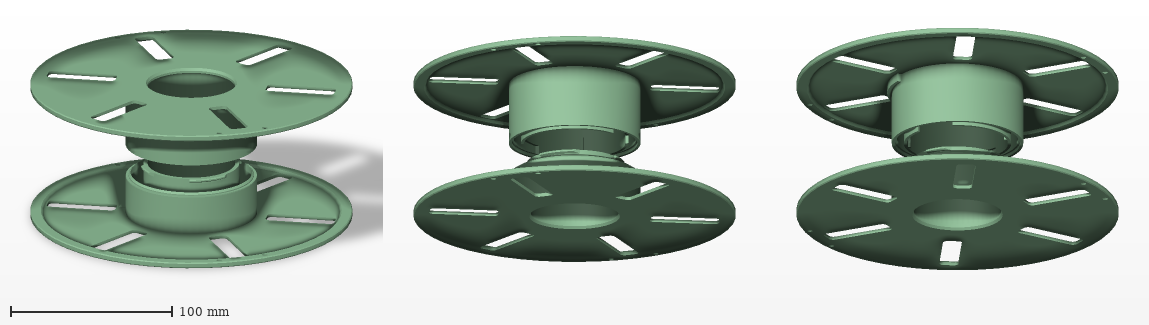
import cadquery as cq
import math

FLANGE_DIA = 200.0
FLANGE_THICKNESS = 3.6
FLANGE_EDGE_CHAMFER = 0.6
TOTAL_HEIGHT = 87.0
BORE_DIA = 54.2
BORE_CHAMFER = 1.0
BORE_CHAMFER_DEPTH = 1.6
BORE_LIP_DEPTH = 3.0

DISH_DIA = 186.8
DISH_DEPTH = 1.6
DISH_RIM_WIDTH = 1.6

WINDOW_COUNT = 6
WINDOW_LENGTH = 43.2
WINDOW_WIDTH = 12.0
WINDOW_RADIUS = 69.0
WINDOW_CORNER_RADIUS = 3.0

EYELET_DIA = 3.5
EYELET_X = 94.8
EYELET_Y = 15.0

HUB_DIA = 81.6
SHOULDER_DIA = 81.5
HUB_INNER_DIA = 75.5
UPPER_HUB_BOTTOM = 47.0
LOWER_SHOULDER_Z = 26.5
SHOULDER_BEVEL_HEIGHT = 0.6

LIP_DIA = 77.8
LIP_TIP_DIA = 75.6
LIP_TOP_Z = 28.2
LIP_STRAIGHT_HEIGHT = 0.6
SOCKET_DIA = 78.0
SOCKET_DEPTH = 2.0

TUBE_DIA = 59.5
TUBE_TOP_Z = 34.2

LUG_DIA = 62.8
LUG_HEIGHT = 2.5
LUG_TOP_BEVEL = 0.6
LUG_FLANK_HEIGHT = 1.0
WIDE_LUG_HALF_ANGLE = 21.5
NARROW_LUG_HALF_ANGLE = 12.0
LUG_LEAD_ANGLE = 7.5

LUGS = [
    (0, WIDE_LUG_HALF_ANGLE),
    (90, NARROW_LUG_HALF_ANGLE),
    (180, WIDE_LUG_HALF_ANGLE),
    (270, NARROW_LUG_HALF_ANGLE),
]

SLEEVE_DIA = 66.6
SLEEVE_BORE_DIA = 62.8
LUG_WINDOW_WIDTH = 23.8
LUG_WINDOW_HEIGHT = 5.2
STOP_BORE_DIA = 59.6
STOP_HEIGHT = 13.0
STOP_START_ANGLE = 12.0
STOP_END_ANGLE = 15.0

RIB_DIA = 87.2
RIB_HEIGHT = 3.5
RIB_START_ANGLE = -8.0
RIB_END_ANGLE = 58.0
PAD_DIA = 91.2
PAD_HEIGHT = 0.8
PAD_START_ANGLE = 168.0
PAD_END_ANGLE = 240.0

EMBED_DEPTH = 1.0

DISH_FLOOR_Z = FLANGE_THICKNESS - DISH_DEPTH
UPPER_FLANGE_BOTTOM = TOTAL_HEIGHT - FLANGE_THICKNESS
UPPER_DISH_FLOOR_Z = TOTAL_HEIGHT - DISH_FLOOR_Z


def cylinder(diameter, bottom, top):
    return cq.Workplane("XY").workplane(offset=bottom).circle(diameter / 2).extrude(top - bottom)


def ring(outer_diameter, inner_diameter, bottom, top):
    return cylinder(outer_diameter, bottom, top).cut(cylinder(inner_diameter, bottom, top))


def cone(bottom_diameter, top_diameter, bottom, top):
    return cq.Workplane(cq.Solid.makeCone(
        bottom_diameter / 2, top_diameter / 2, top - bottom, pnt=cq.Vector(0, 0, bottom)
    ))


def polar(radius, angle):
    return radius * math.cos(math.radians(angle)), radius * math.sin(math.radians(angle))


def arc_band(outer_diameter, inner_diameter, start, end, bottom, top):
    """Part of a ring between two angles."""
    outer = outer_diameter / 2
    inner = inner_diameter / 2
    middle = (start + end) / 2
    outline = (
        cq.Workplane("XY").workplane(offset=bottom)
        .moveTo(*polar(inner, start))
        .lineTo(*polar(outer, start))
        .threePointArc(polar(outer, middle), polar(outer, end))
        .lineTo(*polar(inner, end))
        .threePointArc(polar(inner, middle), polar(inner, start))
        .close()
    )
    return outline.extrude(top - bottom)


def flange():
    """Perforated disc standing on Z = 0 with its dish on the upper side."""
    disc = cylinder(FLANGE_DIA, 0, FLANGE_THICKNESS).edges().chamfer(FLANGE_EDGE_CHAMFER)
    dish = cone(
        DISH_DIA - 2 * DISH_RIM_WIDTH, DISH_DIA, DISH_FLOOR_Z, FLANGE_THICKNESS
    )
    windows = (
        cq.Workplane("XY")
        .polarArray(WINDOW_RADIUS, 0, 360, WINDOW_COUNT)
        .rect(WINDOW_LENGTH, WINDOW_WIDTH)
        .extrude(FLANGE_THICKNESS)
        .edges("|Z").fillet(WINDOW_CORNER_RADIUS)
    )
    eyelets = (
        cq.Workplane("XY")
        .rect(2 * EYELET_X, 2 * EYELET_Y, forConstruction=True)
        .vertices()
        .circle(EYELET_DIA / 2)
        .extrude(FLANGE_THICKNESS)
    )
    return disc.cut(dish).cut(windows).cut(eyelets)


def bore_cutter():
    """Central bore of a flange with its chamfer on the outer side, at Z = 0."""
    chamfer = cone(BORE_DIA + 2 * BORE_CHAMFER, BORE_DIA, 0, BORE_CHAMFER_DEPTH)
    return cylinder(BORE_DIA, 0, TUBE_TOP_Z).union(chamfer)


def lug(centre_angle, half_angle):
    """Bayonet lug with a square clockwise end and a tapering counter-clockwise end."""
    root = TUBE_DIA / 2 - EMBED_DEPTH
    tip = LUG_DIA / 2
    base_z = TUBE_TOP_Z - LUG_HEIGHT
    profile = [
        (root, base_z),
        (TUBE_DIA / 2, base_z),
        (tip, base_z + LUG_FLANK_HEIGHT),
        (tip, TUBE_TOP_Z - LUG_TOP_BEVEL),
        (tip - LUG_TOP_BEVEL, TUBE_TOP_Z),
        (root, TUBE_TOP_Z),
    ]
    body = cq.Workplane("XZ").polyline(profile).close().revolve(360, (0, 0), (0, 1))
    start = centre_angle - half_angle
    end = centre_angle + half_angle
    plan = (
        cq.Workplane("XY").workplane(offset=base_z)
        .moveTo(*polar(root, start))
        .lineTo(*polar(tip, start))
        .threePointArc(polar(tip, centre_angle), polar(tip, end))
        .lineTo(*polar(TUBE_DIA / 2, end + LUG_LEAD_ANGLE))
        .lineTo(*polar(root, end + LUG_LEAD_ANGLE))
        .threePointArc(polar(root, centre_angle), polar(root, start))
        .close()
        .extrude(LUG_HEIGHT)
    )
    return body.intersect(plan)


def lower_half():
    bevel_z = LOWER_SHOULDER_Z - SHOULDER_BEVEL_HEIGHT
    wall = cylinder(HUB_DIA, 0, bevel_z).union(
        cone(HUB_DIA, SHOULDER_DIA, bevel_z, LOWER_SHOULDER_Z)
    )
    lip_cone_z = LOWER_SHOULDER_Z + LIP_STRAIGHT_HEIGHT
    lip = cylinder(LIP_DIA, 0, lip_cone_z).union(cone(LIP_DIA, LIP_TIP_DIA, lip_cone_z, LIP_TOP_Z))
    hollow = cylinder(HUB_INNER_DIA, FLANGE_THICKNESS, LIP_TOP_Z)
    body = flange().union(wall).union(lip).cut(hollow)
    body = body.union(cylinder(TUBE_DIA, 0, TUBE_TOP_Z))
    for centre_angle, half_angle in LUGS:
        body = body.union(lug(centre_angle, half_angle))
    pad = arc_band(
        PAD_DIA, HUB_DIA - 2 * EMBED_DEPTH, PAD_START_ANGLE, PAD_END_ANGLE,
        DISH_FLOOR_Z, DISH_FLOOR_Z + PAD_HEIGHT,
    )
    return body.union(pad).cut(bore_cutter())


def sleeve():
    """Tube with two lug windows in its lower end and two upright stops on its inside."""
    tube = ring(SLEEVE_DIA, SLEEVE_BORE_DIA, UPPER_HUB_BOTTOM, UPPER_FLANGE_BOTTOM)
    windows = cq.Workplane("XY").workplane(offset=UPPER_HUB_BOTTOM).rect(
        LUG_WINDOW_WIDTH, HUB_INNER_DIA
    ).extrude(LUG_WINDOW_HEIGHT)
    tube = tube.cut(windows)
    middle_dia = (SLEEVE_DIA + SLEEVE_BORE_DIA) / 2
    for turn in (0, 180):
        tube = tube.union(arc_band(
            middle_dia, STOP_BORE_DIA, turn + STOP_START_ANGLE, turn + STOP_END_ANGLE,
            UPPER_HUB_BOTTOM, UPPER_HUB_BOTTOM + STOP_HEIGHT,
        ))
    return tube


def turned_over(shape):
    """Flip a shape about X so that its Z = 0 side becomes the top of the spool."""
    return shape.rotate((0, 0, 0), (1, 0, 0), 180).translate((0, 0, TOTAL_HEIGHT))


def upper_half():
    top_flange = turned_over(flange())
    wall = ring(HUB_DIA, HUB_INNER_DIA, UPPER_HUB_BOTTOM, UPPER_DISH_FLOOR_Z)
    socket = cylinder(SOCKET_DIA, UPPER_HUB_BOTTOM, UPPER_HUB_BOTTOM + SOCKET_DEPTH)
    rib = arc_band(
        RIB_DIA, HUB_DIA - 2 * EMBED_DEPTH, RIB_START_ANGLE, RIB_END_ANGLE,
        UPPER_FLANGE_BOTTOM - RIB_HEIGHT, UPPER_DISH_FLOOR_Z,
    )
    bore = turned_over(bore_cutter())
    core = cylinder(HUB_DIA, UPPER_FLANGE_BOTTOM, UPPER_DISH_FLOOR_Z)
    sleeve_bore = cylinder(SLEEVE_BORE_DIA, UPPER_HUB_BOTTOM, TOTAL_HEIGHT - BORE_LIP_DEPTH)
    body = top_flange.union(core).cut(bore).cut(sleeve_bore)
    return body.union(wall.cut(socket)).union(sleeve()).union(rib)


result = cq.Compound.makeCompound([lower_half().val(), upper_half().val()])